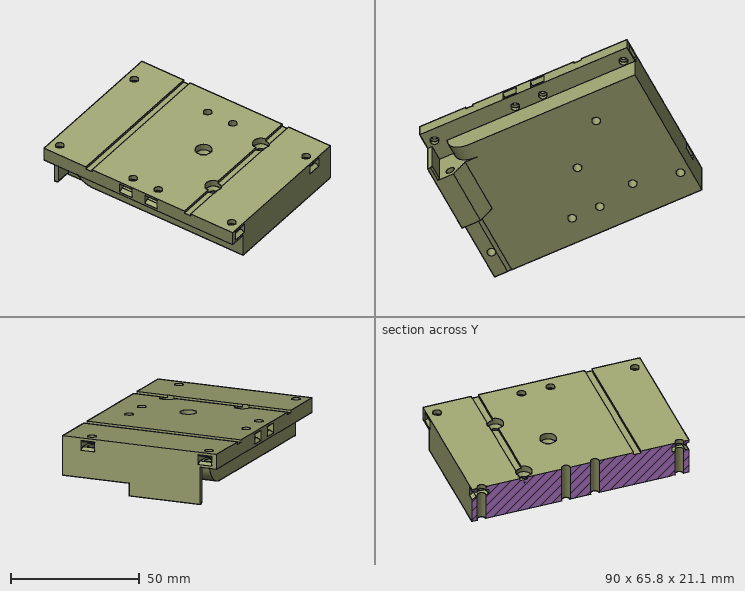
import cadquery as cq

length = 90.0
width = 65.75
plate_thickness = 6.0
total_height = 21.09

body_bottom = -16.0
body_front = 7.0
recess_left = 8.5
round_radius = abs(body_bottom) - plate_thickness

lug_front = 13.5
lug_back = 37.3
lug_bottom_length = 8.0
lug_chamfer = total_height + body_bottom
wall_thickness = 2.0
wall_chamfer = 0.7
lug_hole_x = 6.6
lug_hole_z = -17.5
lug_hole_diameter = 3.5

groove_width = 3.0
groove_depth = 1.0
groove_inset = 20.0

hole_diameter = 3.4
hole_edge_offset = 4.0
hole_rows = (5.0, 55.0)
inner_hole_columns = (39.0, 51.0)
outer_hole_columns = (hole_edge_offset, length - hole_edge_offset)

slot_width = 5.8
slot_mouth_height = 4.0
slot_inner_height = 2.0
slot_middle_z = -plate_thickness / 2
slot_taper_depth = 1.75
slot_end_margin = slot_width / 2

countersink_diameter = 6.5
countersink_spacing = 16.0
countersink_apex = (51.1, 35.25)
recess_depth = 2.8
cone_bottom_diameter = 3.9


def box(x0, x1, y0, y1, z0, z1):
    return cq.Workplane("XY").box(x1 - x0, y1 - y0, z1 - z0, centered=False).translate((x0, y0, z0))


def extrude_along_y(profile, y0, y1):
    """Extrude a closed XZ profile from y0 to y1."""
    return profile.extrude(-(y1 - y0)).translate((0, y0, 0))


def make_plate():
    plate = box(0, length, 0, width, -plate_thickness, 0)
    for x0 in (groove_inset, length - groove_inset - groove_width):
        plate = plate.cut(box(x0, x0 + groove_width, 0, width, -groove_depth, 0))
    return plate


def make_body():
    """Block under the plate, with a rounded left end in front of the lug."""
    rear = box(0, length, lug_front, width, body_bottom, -plate_thickness)
    half_root = round_radius * 0.5 ** 0.5
    center_x = recess_left + round_radius
    front_profile = (
        cq.Workplane("XZ")
        .moveTo(recess_left, -plate_thickness)
        .threePointArc(
            (center_x - half_root, -plate_thickness - half_root),
            (center_x, body_bottom),
        )
        .lineTo(length, body_bottom)
        .lineTo(length, -plate_thickness)
        .close()
    )
    front = extrude_along_y(front_profile, body_front, lug_front)
    return rear.union(front)


def make_lug():
    lug_profile = (
        cq.Workplane("XZ")
        .moveTo(0, body_bottom)
        .lineTo(0, -total_height)
        .lineTo(lug_bottom_length, -total_height)
        .lineTo(lug_bottom_length + lug_chamfer, body_bottom)
        .close()
    )
    lug = extrude_along_y(lug_profile, lug_front, lug_back)
    wall_profile = (
        cq.Workplane("XZ")
        .moveTo(0, -plate_thickness)
        .lineTo(0, -total_height)
        .lineTo(wall_thickness - wall_chamfer, -total_height)
        .lineTo(wall_thickness, -total_height + wall_chamfer)
        .lineTo(wall_thickness, -plate_thickness)
        .close()
    )
    return lug.union(extrude_along_y(wall_profile, body_front, lug_front))


def make_lug_hole():
    profile = cq.Workplane("XZ").center(lug_hole_x, lug_hole_z).circle(lug_hole_diameter / 2)
    return extrude_along_y(profile, 0, width)


def make_screw_hole(x, y):
    return cq.Workplane("XY").center(x, y).circle(hole_diameter / 2).extrude(-total_height)


def make_countersink(x, y):
    cone_depth = (countersink_diameter - cone_bottom_diameter) / 2
    recess = cq.Workplane("XY").circle(countersink_diameter / 2).extrude(-recess_depth)
    cone = (
        cq.Workplane("XY")
        .workplane(offset=-recess_depth)
        .circle(countersink_diameter / 2)
        .workplane(offset=-cone_depth)
        .circle(cone_bottom_diameter / 2)
        .loft()
    )
    return recess.union(cone).translate((x, y, 0)).union(make_screw_hole(x, y))


def make_nut_slot(x, y, depth, turn):
    """Nut slot opening at (x, y); at turn = 0 it runs toward +Y."""
    mouth = slot_mouth_height / 2
    inner = slot_inner_height / 2
    slot = (
        cq.Workplane("YZ")
        .polyline([
            (0, -mouth),
            (slot_taper_depth, -inner),
            (depth, -inner),
            (depth, inner),
            (slot_taper_depth, inner),
            (0, mouth),
        ])
        .close()
        .extrude(slot_width / 2, both=True)
    )
    return slot.rotate((0, 0, 0), (0, 0, 1), turn).translate((x, y, slot_middle_z))


result = make_plate().union(make_body()).union(make_lug()).cut(make_lug_hole())

for row_y in hole_rows:
    for column_x in outer_hole_columns + inner_hole_columns:
        result = result.cut(make_screw_hole(column_x, row_y))
    result = result.cut(make_nut_slot(0, row_y, hole_edge_offset + slot_end_margin, -90))
    result = result.cut(make_nut_slot(length, row_y, hole_edge_offset + slot_end_margin, 90))

front_row_y = hole_rows[0]
for column_x in inner_hole_columns:
    result = result.cut(make_nut_slot(column_x, 0, front_row_y + slot_end_margin, 0))

apex_x, apex_y = countersink_apex
base_x = apex_x + countersink_spacing
result = result.cut(make_countersink(apex_x, apex_y))
for base_y in (apex_y - countersink_spacing, apex_y + countersink_spacing):
    result = result.cut(make_countersink(base_x, base_y))